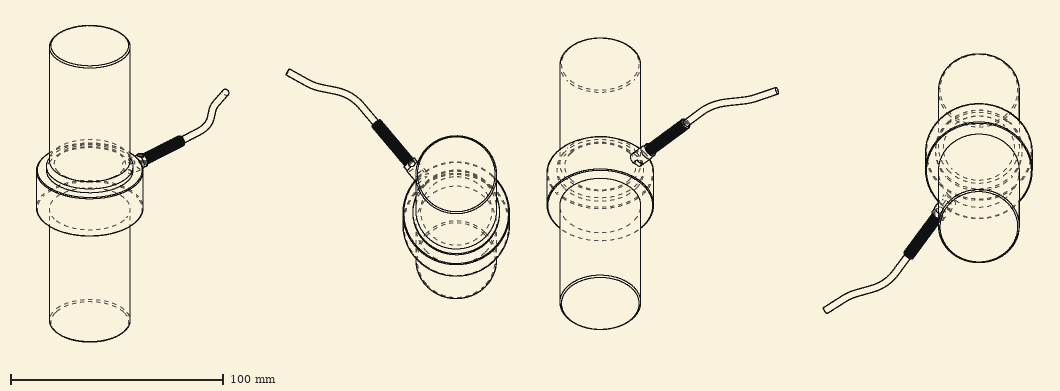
import cadquery as cq
import math

TOTAL_HEIGHT = 152.4
ROD_RADIUS = 19.0
ROD_CHAMFER = 0.8

COLLAR_RADIUS = 25.1
COLLAR_BOTTOM = 62.3
COLLAR_TOP = 83.7
COLLAR_CHAMFER = 0.5

FLANGE_RADIUS = 20.4
FLANGE_TOP = 85.8
NECK_RADIUS = 16.8
NECK_FILLET = 1.7
NECK_CONE_TOP = 89.0

OUTLET_Z = 74.4
CONNECTOR_RADIUS = 3.5
CONNECTOR_END = 34.9
TIP_LENGTH = 2.6
TIP_END_RADIUS = 3.4
TIP_WAIST_RADIUS = 3.2
SCREW_RADIUS = 1.5
SCREW_Y = 33.2
SCREW_TOP = 3.5
ROOT_END = 27.7
ROOT_FLAT_HEIGHT = 2.9

SLEEVE_RADIUS = 2.6
SLEEVE_LENGTH = 25.0
RIB_COUNT = 51

CABLE_RADIUS = 1.7
FIRST_BEND_START = 70.9
BEND_RADIUS = 20.5
FIRST_BEND_ANGLE = 39.0
MIDDLE_LENGTH = 7.6
LAST_ANGLE = 21.0
CABLE_REACH_Y = 106.0
CABLE_RISE_ANGLE = 0.3


def turned_body():
    neck_fillet_top = FLANGE_TOP + NECK_FILLET
    return (
        cq.Workplane("XZ")
        .moveTo(0, 0)
        .lineTo(ROD_RADIUS - ROD_CHAMFER, 0)
        .lineTo(ROD_RADIUS, ROD_CHAMFER)
        .lineTo(ROD_RADIUS, COLLAR_BOTTOM)
        .lineTo(COLLAR_RADIUS - COLLAR_CHAMFER, COLLAR_BOTTOM)
        .lineTo(COLLAR_RADIUS, COLLAR_BOTTOM + COLLAR_CHAMFER)
        .lineTo(COLLAR_RADIUS, COLLAR_TOP - COLLAR_CHAMFER)
        .lineTo(COLLAR_RADIUS - COLLAR_CHAMFER, COLLAR_TOP)
        .lineTo(FLANGE_RADIUS, COLLAR_TOP)
        .lineTo(FLANGE_RADIUS, FLANGE_TOP)
        .lineTo(NECK_RADIUS + NECK_FILLET, FLANGE_TOP)
        .radiusArc((NECK_RADIUS, neck_fillet_top), NECK_FILLET)
        .lineTo(ROD_RADIUS, NECK_CONE_TOP)
        .lineTo(ROD_RADIUS, TOTAL_HEIGHT - ROD_CHAMFER)
        .lineTo(ROD_RADIUS - ROD_CHAMFER, TOTAL_HEIGHT)
        .lineTo(0, TOTAL_HEIGHT)
        .close()
        .revolve(360, (0, 0, 0), (0, 1, 0))
    )


def outlet_plane(y):
    """Plane across the cable outlet, facing +Y."""
    return cq.Workplane(cq.Plane(origin=(0, y, OUTLET_Z), xDir=(1, 0, 0), normal=(0, 1, 0)))


def connector():
    """Stepped round bar: flats at the root, a waisted tip and a small screw standing on the tip."""
    tip_start = CONNECTOR_END - TIP_LENGTH
    bar = (
        cq.Workplane("XY")
        .lineTo(CONNECTOR_RADIUS, 0)
        .lineTo(CONNECTOR_RADIUS, tip_start)
        .threePointArc((TIP_WAIST_RADIUS, tip_start + TIP_LENGTH / 2), (TIP_END_RADIUS, CONNECTOR_END))
        .lineTo(0, CONNECTOR_END)
        .close()
        .revolve(360, (0, 0, 0), (0, 1, 0))
        .translate((0, 0, OUTLET_Z))
    )
    for side in (1, -1):
        cut_depth = CONNECTOR_RADIUS - ROOT_FLAT_HEIGHT
        cut_middle = side * (ROOT_FLAT_HEIGHT + cut_depth / 2)
        flat_cut = outlet_plane(0).center(0, cut_middle).rect(2 * CONNECTOR_RADIUS, cut_depth)
        bar = bar.cut(flat_cut.extrude(ROOT_END))
    screw = cq.Workplane("XY", origin=(0, SCREW_Y, OUTLET_Z)).circle(SCREW_RADIUS).extrude(SCREW_TOP)
    return bar.union(screw)


def strain_relief():
    rib_pitch = SLEEVE_LENGTH / RIB_COUNT
    groove_radius = SLEEVE_RADIUS - rib_pitch / 2
    profile = cq.Workplane("XY").moveTo(0, CONNECTOR_END).lineTo(groove_radius, CONNECTOR_END)
    for rib in range(RIB_COUNT):
        rib_start = CONNECTOR_END + rib * rib_pitch
        rib_crest = (SLEEVE_RADIUS, rib_start + rib_pitch / 2)
        profile = profile.threePointArc(rib_crest, (groove_radius, rib_start + rib_pitch))
    profile = profile.lineTo(0, CONNECTOR_END + SLEEVE_LENGTH).close()
    return profile.revolve(360, (0, 0, 0), (0, 1, 0)).translate((0, 0, OUTLET_Z))


def cable():
    first = math.radians(FIRST_BEND_ANGLE)
    last = math.radians(LAST_ANGLE)

    def moved(point, angle, length):
        return (point[0] - length * math.sin(angle), point[1] + length * math.cos(angle))

    def bent(point, start, end):
        chord = 2 * BEND_RADIUS * abs(math.sin((end - start) / 2))
        return moved(point, (start + end) / 2, chord)

    bend_start = (0, FIRST_BEND_START)
    bend_end = bent(bend_start, 0, first)
    back_start = moved(bend_end, first, MIDDLE_LENGTH)
    back_end = bent(back_start, first, last)
    end_y = CABLE_REACH_Y - CABLE_RADIUS * math.sin(last)
    end = moved(back_end, last, (end_y - back_end[1]) / math.cos(last))
    path = (
        cq.Workplane("XY", origin=(0, 0, OUTLET_Z))
        .moveTo(0, CONNECTOR_END)
        .lineTo(*bend_start)
        .radiusArc(bend_end, -BEND_RADIUS)
        .lineTo(*back_start)
        .radiusArc(back_end, BEND_RADIUS)
        .lineTo(*end)
    )
    flat_cable = outlet_plane(CONNECTOR_END).circle(CABLE_RADIUS).sweep(path)
    sleeve_end = CONNECTOR_END + SLEEVE_LENGTH
    pivot = (0, sleeve_end, OUTLET_Z)
    return flat_cable.rotate(pivot, (1, sleeve_end, OUTLET_Z), CABLE_RISE_ANGLE)


result = turned_body().union(connector()).union(strain_relief()).union(cable())